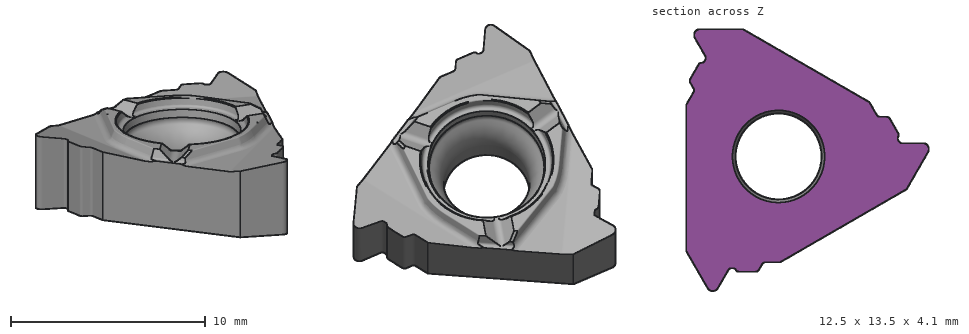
import cadquery as cq
import math

CORNERS = 3
CORNER_STEP = 360 / CORNERS

X_AXIS = ((0, 0, 0), (1, 0, 0))
Y_AXIS = ((0, 0, 0), (0, 1, 0))
Z_AXIS = ((0, 0, 0), (0, 0, 1))

LEFT = 180
DOWN = 270

FLOOR_Z = 3.54
STRIP_Z = 3.62
ISLAND_Z = 4.1
OVERCUT = 0.13

EDGE_APOTHEM = 4.75
FLANK_APOTHEM = 6.54
TIP_DEPTH = 6.91
TIP_RADIUS = 0.31
FLANK_ANGLE = 60
CREST_DEPTH = 5.92
CREST_START_X = -2.14
CREST_END_X = -1.06
ROOT_TOP_DEPTH = 5.74
ROOT_RADIUS = 0.16
SHOULDER_DEPTH = 5.43
STEP_RADIUS = 0.19

CREASE_DEPTH = 4.28
RISE_ANGLE = 10
CREASE_RADIUS = 0.46
CORNER_REACH = 7.4
CORNER_HALF_LENGTH = 6.05

ISLAND_RADIUS = 3.73
ISLAND_TAPER = 25
ISLAND_CLIP = 4.29
ISLAND_SIDE_APOTHEM = 3.65
ISLAND_SIDE_NORMAL = 238.6
CLIP_CENTER_Y = -0.81
CLIP_HALF_LENGTH = 1.61
ISLAND_BASE_RADIUS = 0.35
CLIP_BASE_RADIUS = 0.13
ISLAND_RIM_RADIUS = 0.07
ISLAND_CREASE_RADIUS = 0.59
SLAB_RADIUS = 8.74
ISLAND_ZONE = 6.72
EDGE_TOLERANCE = 0.01

GROOVE_ANGLE = 193.9
GROOVE_FLOOR_WIDTH = 0.27
GROOVE_TOP_WIDTH = 1.47
GROOVE_RADIUS = 0.34

BEVEL_DEPTH = 0.1
BEVEL_LENGTH = 1.88
BEVEL_WIDTH = 0.4

BORE_RADIUS = 4.4 / 2
BORE_TOP_Z = 1.25
SEAT_RADIUS = 2.86
SEAT_Z = 2.81
THROAT_LOW_RADIUS = 2.95
THROAT_LOW_Z = 3.17
THROAT_RADIUS = 3.03
LEDGE_Z = 3.63
COUNTERBORE_FLOOR_RADIUS = 3.28
COUNTERBORE_RADIUS = 3.4
LEDGE_FILLET = 0.17
RIM_RADIUS = 0.05


def turn(point, degrees):
    """Rotate a point about the origin."""
    c = math.cos(math.radians(degrees))
    s = math.sin(math.radians(degrees))
    x, y = point
    return (c * x - s * y, s * x + c * y)


def crossing(normal_a, distance_a, normal_b, distance_b):
    """Meeting point of two lines given by normal direction and distance from the origin."""
    ax, ay = turn((1, 0), normal_a)
    bx, by = turn((1, 0), normal_b)
    det = ax * by - ay * bx
    return ((distance_a * by - distance_b * ay) / det, (ax * distance_b - bx * distance_a) / det)


def line_distance(point, normal):
    """Distance from the origin to the line through a point with the given normal direction."""
    nx, ny = turn((1, 0), normal)
    return point[0] * nx + point[1] * ny


def rounded_loop(corners):
    """Closed wire through (point, radius) corners; a radius of 0 leaves the corner sharp."""
    stretches = []
    for i, (corner, radius) in enumerate(corners):
        if radius == 0:
            stretches.append([corner])
            continue
        here = cq.Vector(*corner)
        back = (cq.Vector(*corners[i - 1][0]) - here).normalized()
        ahead = (cq.Vector(*corners[(i + 1) % len(corners)][0]) - here).normalized()
        half = back.getAngle(ahead) / 2
        setback = radius / math.tan(half)
        middle = here + (back + ahead).normalized() * (radius / math.sin(half) - radius)
        stretches.append([(p.x, p.y) for p in (here + back * setback, middle, here + ahead * setback)])
    wire = cq.Workplane("XY").moveTo(*stretches[0][-1])
    for stretch in stretches[1:] + stretches[:1]:
        wire = wire.lineTo(*stretch[0])
        if len(stretch) == 3:
            wire = wire.threePointArc(stretch[1], stretch[2])
    return wire.close()


def around(shape):
    """The shape repeated at every corner."""
    copies = shape
    for k in range(1, CORNERS):
        copies = copies.union(shape.rotate(*Z_AXIS, k * CORNER_STEP))
    return copies


def body_outline():
    """Prism with the outline of the insert, taller than the finished part."""
    outer = DOWN - FLANK_ANGLE
    inner = DOWN + FLANK_ANGLE
    tip_center_y = -TIP_DEPTH + TIP_RADIUS
    tip_center_x = crossing(outer, FLANK_APOTHEM - TIP_RADIUS, DOWN, -tip_center_y)[0]
    tip_center = (tip_center_x, tip_center_y)
    inner_distance = line_distance(tip_center, inner) + TIP_RADIUS
    rise_distance = line_distance((CREST_START_X, -CREST_DEPTH), outer)
    step_distance = line_distance((CREST_END_X, -CREST_DEPTH), inner)

    third = [
        (crossing(LEFT, EDGE_APOTHEM, outer, FLANK_APOTHEM), 0),
        ((tip_center_x, tip_center_y - TIP_RADIUS / math.cos(math.radians(FLANK_ANGLE))), TIP_RADIUS),
        (crossing(inner, inner_distance, DOWN, ROOT_TOP_DEPTH), ROOT_RADIUS),
        (crossing(DOWN, ROOT_TOP_DEPTH, outer, rise_distance), ROOT_RADIUS),
        ((CREST_START_X, -CREST_DEPTH), ROOT_RADIUS),
        ((CREST_END_X, -CREST_DEPTH), STEP_RADIUS),
        (crossing(inner, step_distance, DOWN, SHOULDER_DEPTH), STEP_RADIUS),
        (crossing(DOWN, SHOULDER_DEPTH, LEFT + CORNER_STEP, EDGE_APOTHEM), 0),
    ]
    corners = [(turn(p, k * CORNER_STEP), r) for k in range(CORNERS) for p, r in third]
    return rounded_loop(corners).extrude(ISLAND_Z + OVERCUT)


def side_end(radius):
    """Crease where the straight side of the island meets its round stretch."""
    side_distance = ISLAND_SIDE_APOTHEM + radius - ISLAND_RADIUS
    return turn((side_distance, math.sqrt(radius**2 - side_distance**2)), ISLAND_SIDE_NORMAL)


def island_loop(radius, z):
    """Island outline at one height; its stretches stay parallel as the radius grows."""
    side_distance = ISLAND_SIDE_APOTHEM + radius - ISLAND_RADIUS
    arc_end = side_end(radius)
    arc_sweep = math.degrees(math.atan2(-arc_end[0], -arc_end[1]))
    arc_start = (0, -radius)
    arc_middle = turn(arc_start, -arc_sweep / 2)
    vertex = crossing(DOWN - CORNER_STEP, radius, ISLAND_SIDE_NORMAL, side_distance)

    wire = cq.Workplane("XY", origin=(0, 0, z)).moveTo(*turn(arc_start, -CORNER_STEP))
    for k in range(CORNERS):
        wire = wire.lineTo(*turn(vertex, k * CORNER_STEP))
        wire = wire.lineTo(*turn(arc_end, k * CORNER_STEP))
        wire = wire.threePointArc(turn(arc_middle, k * CORNER_STEP), turn(arc_start, k * CORNER_STEP))
    return wire.close().wire().val()


def island_on_slab():
    """Round slab up to the floor with the tapered island on it, filleted at rim and base."""
    base_radius = ISLAND_RADIUS + (ISLAND_Z - FLOOR_Z) * math.tan(math.radians(ISLAND_TAPER))
    loops = [island_loop(base_radius, FLOOR_Z), island_loop(ISLAND_RADIUS, ISLAND_Z)]
    island = cq.Workplane(cq.Solid.makeLoft(loops, True))
    crease = side_end(ISLAND_RADIUS)
    crease_edge = cq.selectors.NearestToPointSelector((*crease, (FLOOR_Z + ISLAND_Z) / 2))
    for _ in range(CORNERS):
        island = island.edges(crease_edge).fillet(ISLAND_CREASE_RADIUS).rotate(*Z_AXIS, CORNER_STEP)
    slab = cq.Workplane("XY").circle(SLAB_RADIUS).extrude(FLOOR_Z)
    low_corner = (-ISLAND_ZONE, -ISLAND_ZONE, FLOOR_Z - EDGE_TOLERANCE)
    high_corner = (ISLAND_ZONE, ISLAND_ZONE, FLOOR_Z + EDGE_TOLERANCE)
    island_base = cq.selectors.BoxSelector(low_corner, high_corner, True)
    solid = slab.union(island).edges(island_base).fillet(ISLAND_BASE_RADIUS)
    return solid.faces(">Z").edges().fillet(ISLAND_RIM_RADIUS)


def island_clip():
    """Cutter that leaves a short slanted wall on the island along the left long edge."""
    run = (ISLAND_Z - STRIP_Z) * math.tan(math.radians(ISLAND_TAPER))
    far_x = -SLAB_RADIUS
    profile = [
        ((-ISLAND_CLIP, ISLAND_Z), 0),
        ((-ISLAND_CLIP - run, STRIP_Z), CLIP_BASE_RADIUS),
        ((far_x, STRIP_Z), 0),
        ((far_x, ISLAND_Z), 0),
    ]
    cutter = rounded_loop(profile).extrude(2 * CLIP_HALF_LENGTH)
    return cutter.rotate(*X_AXIS, 90).translate((0, CLIP_CENTER_Y + CLIP_HALF_LENGTH, 0))


def corner_rise():
    """Corner block whose top climbs from the crease towards the tooth tip."""
    tip_z = FLOOR_Z + (CORNER_REACH - CREASE_DEPTH) * math.tan(math.radians(RISE_ANGLE))
    inner_depth = CREASE_DEPTH - CREASE_RADIUS * math.tan(math.radians(RISE_ANGLE))
    profile = [
        ((-inner_depth, 0), 0),
        ((-inner_depth, FLOOR_Z), 0),
        ((-CREASE_DEPTH, FLOOR_Z), CREASE_RADIUS),
        ((-CORNER_REACH, tip_z), 0),
        ((-CORNER_REACH, 0), 0),
    ]
    block = rounded_loop(profile).extrude(2 * CORNER_HALF_LENGTH)
    return block.rotate(*X_AXIS, 90).translate((0, CORNER_HALF_LENGTH, 0)).rotate(*Z_AXIS, 90)


def island_groove():
    """V-shaped groove running outwards from the bore across the island."""
    slope = (GROOVE_TOP_WIDTH - GROOVE_FLOOR_WIDTH) / 2 / (ISLAND_Z - STRIP_Z)
    top_z = ISLAND_Z + OVERCUT
    top_half = GROOVE_TOP_WIDTH / 2 + slope * OVERCUT
    profile = [
        ((-top_half, top_z), 0),
        ((-GROOVE_FLOOR_WIDTH / 2, STRIP_Z), GROOVE_RADIUS),
        ((GROOVE_FLOOR_WIDTH / 2, STRIP_Z), GROOVE_RADIUS),
        ((top_half, top_z), 0),
    ]
    groove = rounded_loop(profile).extrude(SLAB_RADIUS).rotate(*X_AXIS, 90)
    return groove.rotate(*Z_AXIS, GROOVE_ANGLE - DOWN)


def groove_bevel():
    """Cutter that bevels the edge where the groove wall meets the island side."""
    rise = ISLAND_Z - STRIP_Z
    wall_run = (GROOVE_TOP_WIDTH - GROOVE_FLOOR_WIDTH) / 2
    side = cq.Vector(*turn((1, 0), ISLAND_SIDE_NORMAL), math.tan(math.radians(ISLAND_TAPER))).normalized()
    groove_wall = cq.Vector(*turn((rise, 0), GROOVE_ANGLE - 90), wall_run).normalized()
    edge = side.cross(groove_wall)
    outward = (side + groove_wall).normalized()
    top = crossing(GROOVE_ANGLE + 90, GROOVE_TOP_WIDTH / 2, ISLAND_SIDE_NORMAL, ISLAND_SIDE_APOTHEM)
    face_center = cq.Vector(*top, ISLAND_Z) - outward * BEVEL_DEPTH
    plane = cq.Plane(origin=face_center, xDir=edge, normal=outward)
    return cq.Workplane(plane).rect(BEVEL_LENGTH, BEVEL_WIDTH).extrude(2 * BEVEL_DEPTH)


def bore_and_seat():
    """Through bore widening into the rounded screw seat."""
    seat_middle = seat_arc_middle()
    profile = (
        cq.Workplane("XZ")
        .moveTo(0, 0)
        .lineTo(BORE_RADIUS, 0)
        .lineTo(BORE_RADIUS, BORE_TOP_Z)
        .threePointArc(seat_middle, (SEAT_RADIUS, SEAT_Z))
        .tangentArcPoint((THROAT_LOW_RADIUS, THROAT_LOW_Z), relative=False)
        .lineTo(0, THROAT_LOW_Z)
        .close()
    )
    return profile.revolve(360, *Y_AXIS)


def counterbore():
    """Flared counterbore with a rounded rim, a narrow ledge and the throat below it."""
    above_z = ISLAND_Z + OVERCUT
    profile = [
        ((0, THROAT_LOW_Z), 0),
        ((THROAT_LOW_RADIUS, THROAT_LOW_Z), 0),
        ((THROAT_RADIUS, LEDGE_Z), RIM_RADIUS),
        ((COUNTERBORE_FLOOR_RADIUS, LEDGE_Z), LEDGE_FILLET),
        ((COUNTERBORE_RADIUS, ISLAND_Z), RIM_RADIUS),
        ((COUNTERBORE_RADIUS + OVERCUT, ISLAND_Z), 0),
        ((COUNTERBORE_RADIUS + OVERCUT, above_z), 0),
        ((0, above_z), 0),
    ]
    return rounded_loop(profile).revolve(360, *Y_AXIS).rotate(*X_AXIS, 90)


def seat_arc_middle():
    """Midpoint of the convex seat arc, which leaves the bore wall tangentially."""
    rise = SEAT_Z - BORE_TOP_Z
    widening = SEAT_RADIUS - BORE_RADIUS
    radius = (rise**2 + widening**2) / (2 * widening)
    half_angle = math.asin(rise / radius) / 2
    return (BORE_RADIUS + radius * (1 - math.cos(half_angle)), BORE_TOP_Z + radius * math.sin(half_angle))


result = island_on_slab().cut(around(island_clip()))
for k in range(CORNERS):
    result = result.union(corner_rise().rotate(*Z_AXIS, k * CORNER_STEP))
result = result.intersect(body_outline())
result = result.cut(around(island_groove())).cut(around(groove_bevel()))
result = result.cut(bore_and_seat()).cut(counterbore())